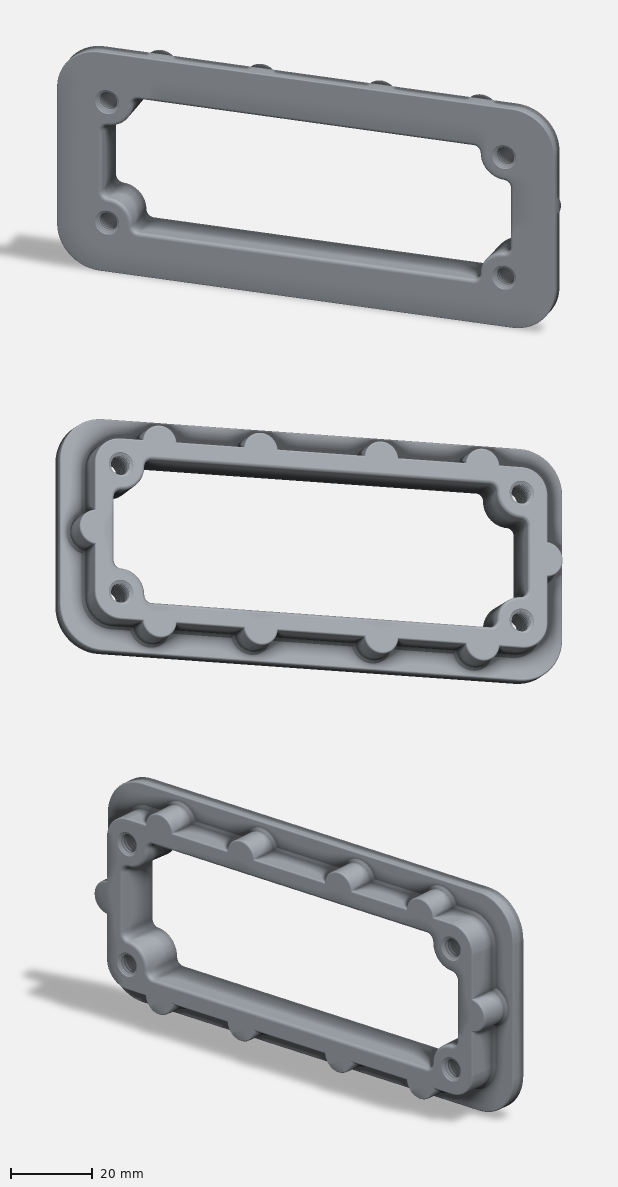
import cadquery as cq

FLANGE_LENGTH = 129.13
FLANGE_HEIGHT = 58.13
FLANGE_THICKNESS = 4.0
FLANGE_CORNER_RADIUS = 11.0
FLANGE_FRONT_EDGE_RADIUS = 0.3
FLANGE_BACK_EDGE_RADIUS = 0.4

TOTAL_DEPTH = 12.0
COLLAR_DEPTH = TOTAL_DEPTH - FLANGE_THICKNESS
COLLAR_SETBACK = 6.25
COLLAR_LENGTH = FLANGE_LENGTH - 2 * COLLAR_SETBACK
COLLAR_HEIGHT = FLANGE_HEIGHT - 2 * COLLAR_SETBACK
COLLAR_CORNER_RADIUS = 6.75
COLLAR_ROOT_CHAMFER = 0.7
COLLAR_ROOT_CHAMFER_ANGLE = 45.0
COLLAR_RIM_RADIUS = 0.4

DRAFT_ANGLE = 1.0

RIB_RADIUS = 4.5
RIB_INSET = 0.6
RIB_X_POSITIONS = (-41.5, -15.5, 15.5, 41.5)
RIB_CENTRES = [(x, side * (COLLAR_HEIGHT / 2 - RIB_INSET)) for x in RIB_X_POSITIONS for side in (-1, 1)]
RIB_CENTRES += [(side * (COLLAR_LENGTH / 2 - RIB_INSET), 0) for side in (-1, 1)]

WINDOW_LENGTH = 106.0
WINDOW_HEIGHT = 35.5
WINDOW_FRONT_RADIUS = 0.9
WINDOW_BACK_RADIUS = 0.8
LOBE_RADIUS = 6.35
LOBE_BLEND_RADIUS = 1.75

HOLE_SPACING_X = 103.0
HOLE_SPACING_Z = 32.0
HOLE_CENTRES = [(i * HOLE_SPACING_X / 2, j * HOLE_SPACING_Z / 2) for i in (-1, 1) for j in (-1, 1)]
HOLE_MOUTH_RADIUS = 3.15
THREAD_MAJOR_RADIUS = 3.0
THREAD_MINOR_RADIUS = 2.46
THREAD_PITCH = 1.0
THREAD_COUNT = int(TOTAL_DEPTH / THREAD_PITCH)
THREAD_CREST_FLAT = THREAD_PITCH / 4
THREAD_ROOT_FLAT = THREAD_PITCH / 8


def back_facing_plane(y):
    """Plane at depth y with its normal along +Y and its second axis along +Z."""
    return cq.Workplane(cq.Plane(origin=(0, y, 0), xDir=(-1, 0, 0), normal=(0, 1, 0)))


def make_flange():
    plate = back_facing_plane(0).rect(FLANGE_LENGTH, FLANGE_HEIGHT).extrude(FLANGE_THICKNESS)
    plate = plate.edges("|Y").fillet(FLANGE_CORNER_RADIUS)
    plate = plate.faces("<Y").edges().fillet(FLANGE_FRONT_EDGE_RADIUS)
    return plate.faces(">Y").edges().fillet(FLANGE_BACK_EDGE_RADIUS)


def collar_outline(growth):
    """Rounded rectangle of the collar at its root, grown outwards on every side."""
    length = COLLAR_LENGTH + 2 * growth
    height = COLLAR_HEIGHT + 2 * growth
    return cq.Sketch().rect(length, height).vertices().fillet(COLLAR_CORNER_RADIUS + growth)


def rib_outline(growth):
    return cq.Sketch().circle(RIB_RADIUS + growth)


def raise_from_flange(outline, centre):
    """Drafted pad on the back of the flange with a chamfered root and a rounded rim."""
    base = back_facing_plane(FLANGE_THICKNESS).center(*centre)
    pad = base.placeSketch(outline(0)).extrude(COLLAR_DEPTH, taper=DRAFT_ANGLE)
    pad = pad.faces(">Y").edges().fillet(COLLAR_RIM_RADIUS)
    root_outline = outline(COLLAR_ROOT_CHAMFER)
    root = base.placeSketch(root_outline).extrude(COLLAR_ROOT_CHAMFER, taper=COLLAR_ROOT_CHAMFER_ANGLE)
    return pad.union(root)


def make_collar():
    collar = raise_from_flange(collar_outline, (0, 0))
    for centre in RIB_CENTRES:
        collar = collar.union(raise_from_flange(rib_outline, centre))
    return collar


def make_window():
    """Cutter for the window: a rectangle less its corner lobes, widening towards the back."""
    front = back_facing_plane(0)
    blank = front.rect(WINDOW_LENGTH, WINDOW_HEIGHT).extrude(TOTAL_DEPTH)
    lobes = front.pushPoints(HOLE_CENTRES).circle(LOBE_RADIUS).extrude(TOTAL_DEPTH)
    blank = blank.cut(lobes).edges("|Y").fillet(LOBE_BLEND_RADIUS)
    outline = blank.faces("<Y").wires().val()
    return front.add(outline).toPending().extrude(TOTAL_DEPTH, taper=-DRAFT_ANGLE)


def round_window_rim(body, y, radius):
    """Round the window edges lying in the face at depth y."""
    half_length = WINDOW_LENGTH / 2 + radius
    half_height = WINDOW_HEIGHT / 2 + radius
    rim = cq.selectors.BoxSelector(
        (-half_length, y - radius, -half_height),
        (half_length, y + radius, half_height),
        boundingbox=True,
    )
    return body.edges(rim).fillet(radius)


def cut_window(body):
    body = body.cut(make_window())
    body = round_window_rim(body, 0, WINDOW_FRONT_RADIUS)
    return round_window_rim(body, TOTAL_DEPTH, WINDOW_BACK_RADIUS)


def make_threaded_hole():
    """Cutter for one hole on the Y axis: a half profile with thread grooves, turned about Y."""
    flank = (THREAD_PITCH - THREAD_CREST_FLAT - THREAD_ROOT_FLAT) / 2
    lead_in = HOLE_MOUTH_RADIUS - THREAD_MAJOR_RADIUS
    points = [
        (0, 0),
        (HOLE_MOUTH_RADIUS, 0),
        (THREAD_MAJOR_RADIUS, lead_in),
        (THREAD_MINOR_RADIUS, lead_in + flank),
    ]
    for index in range(1, THREAD_COUNT):
        groove_middle = index * THREAD_PITCH
        root_half = THREAD_ROOT_FLAT / 2
        mouth_half = root_half + flank
        points += [
            (THREAD_MINOR_RADIUS, groove_middle - mouth_half),
            (THREAD_MAJOR_RADIUS, groove_middle - root_half),
            (THREAD_MAJOR_RADIUS, groove_middle + root_half),
            (THREAD_MINOR_RADIUS, groove_middle + mouth_half),
        ]
    points += [
        (THREAD_MINOR_RADIUS, TOTAL_DEPTH - lead_in - flank),
        (THREAD_MAJOR_RADIUS, TOTAL_DEPTH - lead_in),
        (HOLE_MOUTH_RADIUS, TOTAL_DEPTH),
        (0, TOTAL_DEPTH),
    ]
    return cq.Workplane("XY").polyline(points).close().revolve(360, (0, 0), (0, 1))


def cut_threaded_holes(body):
    hole = make_threaded_hole()
    for x, z in HOLE_CENTRES:
        body = body.cut(hole.translate((x, 0, z)))
    return body


body = make_flange().union(make_collar())
body = cut_window(body)
result = cut_threaded_holes(body)